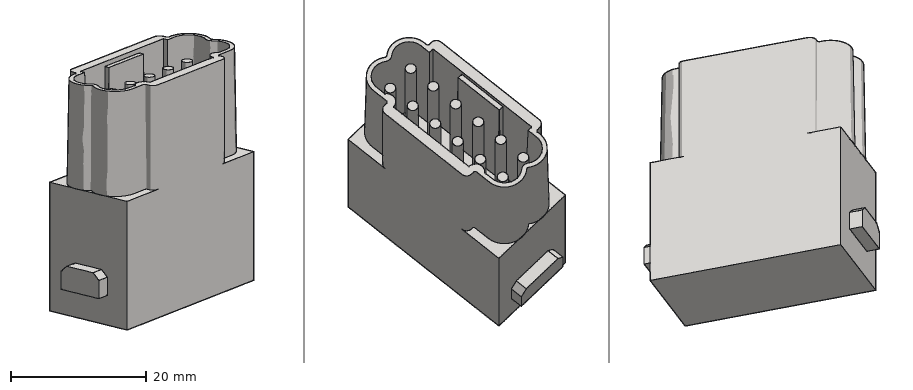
import cadquery as cq
import math

body_x = 14.6
body_y = 30.12
body_z = 20.0
total_z = 36.25

shroud_z = total_z - body_z
draft_angle = 1.0
lobe_radius = 3.3
lobe_x = 2.25
lobe_y = 11.55
lobe_blend = 0.4
lobe_wall = 0.72
core_half_left = 10.8
core_half_right = 8.7
core_corner_radius = 1.0
core_lobe_fillet = 0.3

cavity_depth = 20.3
pocket_half_x = 5.62
pocket_half_left = 9.85
boss_radius = 1.35
boss_y = 8.88
key_half_length = 4.1
key_height = 0.8
key_drop = 0.72

pin_pitch = 4.5
pin_rows = 6
pin_columns = 2
pin_diameter = 1.63
pin_drop = 3.08

tab_length = 2.0
tab_base_z = 4.65
tab_height = 3.8
tab_chamfer_x = 1.1
tab_chamfer_z = 0.98
front_tab_width = 7.15
back_tab_width = 9.15


def lobe_prism(radius, blend, depth, taper):
    """Four-lobed prism going down from the rim.

    Two circles of the given radius form each end; blend is the radius of the arc
    that joins them tangentially. A negative taper widens the prism downward.
    """
    reach = radius + blend
    blend_y = lobe_y + math.sqrt(reach**2 - lobe_x**2)
    touch_x = lobe_x * blend / reach
    touch_y = blend_y - (blend_y - lobe_y) * blend / reach
    side_x = lobe_x + radius
    diagonal = radius * math.sqrt(0.5)
    shoulder = (lobe_x + diagonal, lobe_y + diagonal)
    valley_y = blend_y - blend
    outline = (
        cq.Workplane("XY", origin=(0, 0, total_z))
        .moveTo(-side_x, -lobe_y)
        .lineTo(-side_x, lobe_y)
        .threePointArc((-shoulder[0], shoulder[1]), (-touch_x, touch_y))
        .threePointArc((0, valley_y), (touch_x, touch_y))
        .threePointArc(shoulder, (side_x, lobe_y))
        .lineTo(side_x, -lobe_y)
        .threePointArc((shoulder[0], -shoulder[1]), (touch_x, -touch_y))
        .threePointArc((0, -valley_y), (-touch_x, -touch_y))
        .threePointArc((-shoulder[0], -shoulder[1]), (-side_x, -lobe_y))
        .close()
    )
    return outline.extrude(-depth, taper=taper)


def side_block(side_x, half_y, top_z, depth, taper=0):
    """Block from the YZ mid-plane out to side_x, going down from top_z."""
    return (
        cq.Workplane("XY", origin=(side_x / 2, 0, top_z))
        .rect(abs(side_x), 2 * half_y)
        .extrude(-depth, taper=taper)
    )


def make_shroud():
    """Solid shroud: straight core with a longer -X half, plus the flared lobes."""
    left = side_block(-body_x / 2, core_half_left, total_z, shroud_z)
    right = side_block(body_x / 2, core_half_right, total_z, shroud_z)
    left = left.edges("|Z and <X").fillet(core_corner_radius)
    right = right.edges("|Z and >X").fillet(core_corner_radius)
    lobes = lobe_prism(lobe_radius, lobe_blend, shroud_z, -draft_angle)
    shroud = lobes.union(left).union(right)

    mid_z = (body_z + total_z) / 2
    flare = shroud_z / 2 * math.tan(math.radians(draft_angle))
    corner_x = lobe_x + lobe_radius + flare
    for x, half_length in ((-corner_x, core_half_left), (corner_x, core_half_right)):
        for side in (-1, 1):
            corner = cq.selectors.NearestToPointSelector((x, side * half_length, mid_z))
            shroud = shroud.edges(corner).fillet(core_lobe_fillet)
    return shroud


def make_cavity():
    """Solid to remove from the shroud and body, narrowing toward its floor."""
    cavity = lobe_prism(lobe_radius - lobe_wall, lobe_blend + lobe_wall, cavity_depth, draft_angle)
    cavity = cavity.union(side_block(-pocket_half_x, pocket_half_left, total_z, cavity_depth, draft_angle))
    cavity = cavity.union(side_block(pocket_half_x, boss_y, total_z, cavity_depth, draft_angle))
    bosses = (
        cq.Workplane("XY", origin=(0, 0, total_z))
        .pushPoints([(pocket_half_x, -boss_y), (pocket_half_x, boss_y)])
        .circle(boss_radius)
        .extrude(-cavity_depth, taper=-draft_angle)
    )
    key = (
        cq.Workplane("XY", origin=(-pocket_half_x, 0, total_z - key_drop))
        .rect(2 * key_height, 2 * key_half_length)
        .extrude(key_drop - cavity_depth, taper=-draft_angle)
    )
    return cavity.cut(bosses).cut(key)


def make_pins():
    """Grid of contact pins rising from the cavity floor."""
    return (
        cq.Workplane("XY", origin=(0, 0, total_z - cavity_depth))
        .rarray(pin_pitch, pin_pitch, pin_columns, pin_rows)
        .circle(pin_diameter / 2)
        .extrude(cavity_depth - pin_drop)
    )


def make_tab(width, side):
    """Latch tab on the end face at -Y (side -1) or +Y (side 1)."""
    half = width / 2
    top_z = tab_base_z + tab_height
    return (
        cq.Workplane("XZ", origin=(0, side * body_y / 2, 0))
        .moveTo(-half, tab_base_z)
        .lineTo(half, tab_base_z)
        .lineTo(half, top_z - tab_chamfer_z)
        .lineTo(half - tab_chamfer_x, top_z)
        .lineTo(tab_chamfer_x - half, top_z)
        .lineTo(-half, top_z - tab_chamfer_z)
        .close()
        .extrude(-side * tab_length)
    )


body = cq.Workplane("XY").box(body_x, body_y, body_z, centered=(True, True, False))
housing = body.union(make_shroud()).cut(make_cavity())
result = (
    housing.union(make_pins())
    .union(make_tab(front_tab_width, -1))
    .union(make_tab(back_tab_width, 1))
)